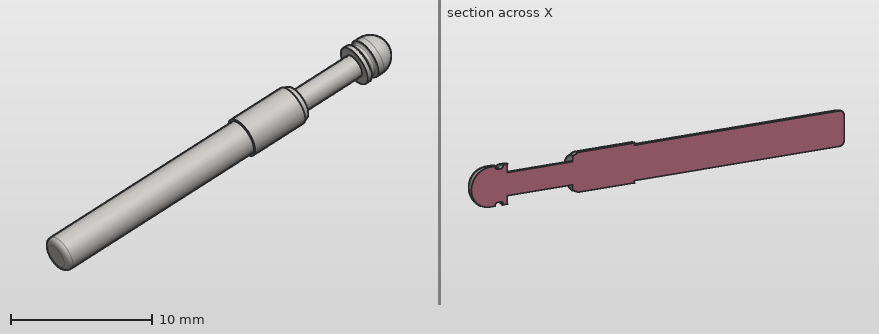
import cadquery as cq
import math


length = 30.3
tip_y = length / 2
tail_y = -length / 2

head_radius = 1.5
head_length = 2.97
dome_end_y = tip_y - head_radius
head_end_y = tip_y - head_length

groove_center_y = tip_y - 2.27
groove_width = 0.6
groove_depth = 0.258
groove_fillet = 0.18

stem_radius = 0.88

collar_top_y = tip_y - 8.25
collar_length = 5.03
collar_end_y = collar_top_y - collar_length
cone_length = 0.45
cone_tip_radius = 1.3

barrel_radius = 1.33
tail_fillet = 0.42


def make_pin():
    """Revolve the outer profile, without the groove."""
    dome_mid = head_radius * math.sqrt(0.5)
    tail_fillet_mid = tail_fillet * (1 - math.sqrt(0.5))
    profile = (
        cq.Workplane("XY")
        .moveTo(0, tip_y)
        .threePointArc((dome_mid, dome_end_y + dome_mid), (head_radius, dome_end_y))
        .lineTo(head_radius, head_end_y)
        .lineTo(stem_radius, head_end_y)
        .lineTo(stem_radius, collar_top_y)
        .lineTo(cone_tip_radius, collar_top_y)
        .lineTo(head_radius, collar_top_y - cone_length)
        .lineTo(head_radius, collar_end_y)
        .lineTo(barrel_radius, collar_end_y)
        .lineTo(barrel_radius, tail_y + tail_fillet)
        .threePointArc(
            (barrel_radius - tail_fillet_mid, tail_y + tail_fillet_mid),
            (barrel_radius - tail_fillet, tail_y),
        )
        .lineTo(0, tail_y)
        .close()
    )
    return profile.revolve(360, (0, 0, 0), (0, 1, 0))


def make_groove():
    """Ring that cuts the groove, with its inner edges rounded."""
    floor_radius = head_radius - groove_depth
    ring_outer_radius = head_radius + groove_depth
    section = (
        cq.Sketch()
        .push([((floor_radius + ring_outer_radius) / 2, groove_center_y)])
        .rect(ring_outer_radius - floor_radius, groove_width)
        .reset()
        .vertices("<X")
        .fillet(groove_fillet)
    )
    return cq.Workplane("XY").placeSketch(section).revolve(360, (0, 0, 0), (0, 1, 0))


result = make_pin().cut(make_groove())